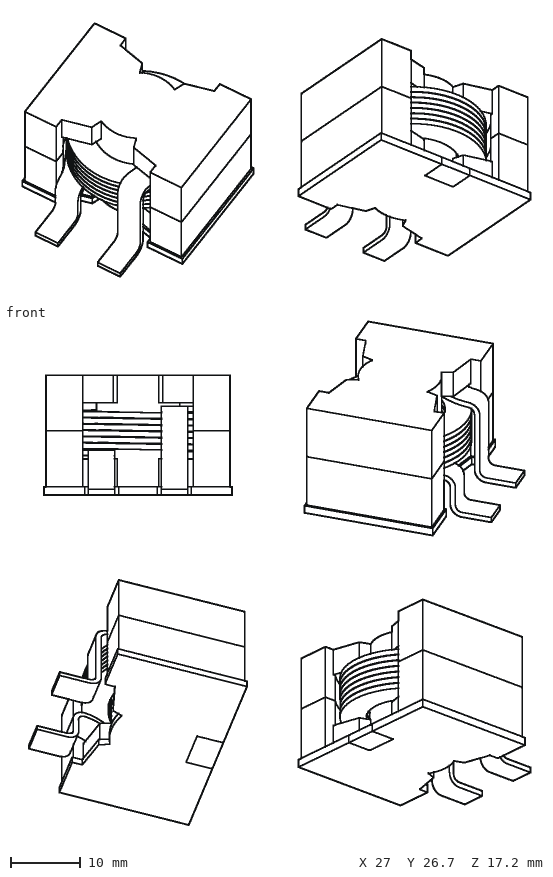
import cadquery as cq
import math

BASE_LENGTH = 27.0
BASE_WIDTH = 19.5
BASE_THICKNESS = 1.2
BASE_RIM = 0.3
PAD_LENGTH = 5.08
PAD_FRONT_Y = 5.78

CORE_LENGTH = 26.4
CORE_WIDTH = 19.0
CORE_HEIGHT = 16.0
YOKE_THICKNESS = 4.0
POST_RADIUS = 6.0
LEG_BORE_RADIUS = 11.0
NOTCH_HALF_LENGTH = 7.9
NOTCH_SHOULDER_Y = 8.0
NOTCH_KNEE_X = 3.55
NOTCH_KNEE_Y = 6.88
NOTCH_POST_X = 2.95

NOTCH_POST_Y = math.sqrt(POST_RADIUS**2 - NOTCH_POST_X**2)
HALF_HEIGHT = CORE_HEIGHT / 2
SPLIT_Z = BASE_THICKNESS + HALF_HEIGHT

STRIP_WIDTH = 3.8
STRIP_THICKNESS = 0.8
TURN_GAP = 0.09
COIL_OUTER_RADIUS = 10.3
EXIT_ANGLE = 26.0
LEAD_RISE_TURNS = 7

COIL_INNER_RADIUS = COIL_OUTER_RADIUS - STRIP_WIDTH
TURN_PITCH = STRIP_THICKNESS + TURN_GAP
COIL_TURNS = 6.5 + 2 * EXIT_ANGLE / 360
LEAD_HALF_RISE = LEAD_RISE_TURNS * TURN_PITCH / 2

LEAD_CENTRE_X = 5.25
LEAD_STRAIGHT_Y = -9.95
LEAD_FACE_Y = -10.95
FOOT_END_Y = -16.42
BEND_INNER_RADIUS = 1.0
BEND_OUTER_RADIUS = BEND_INNER_RADIUS + STRIP_THICKNESS


def polar(radius, degrees, centre=(0, 0)):
    angle = math.radians(degrees)
    return (centre[0] + radius * math.cos(angle), centre[1] + radius * math.sin(angle))


def notch_prism(height, inset=0):
    """Fill of the notch in the -Y side of the core, shrunk all round by the inset.

    Its inner end is flat and lies inside the round post.
    """
    open_y = -BASE_WIDTH
    outline = (
        cq.Workplane("XY")
        .moveTo(-NOTCH_HALF_LENGTH, open_y)
        .lineTo(-NOTCH_HALF_LENGTH, -NOTCH_SHOULDER_Y)
        .lineTo(-NOTCH_KNEE_X, -NOTCH_KNEE_Y)
        .lineTo(-NOTCH_POST_X, -NOTCH_POST_Y)
        .lineTo(NOTCH_POST_X, -NOTCH_POST_Y)
        .lineTo(NOTCH_KNEE_X, -NOTCH_KNEE_Y)
        .lineTo(NOTCH_HALF_LENGTH, -NOTCH_SHOULDER_Y)
        .lineTo(NOTCH_HALF_LENGTH, open_y)
        .close()
    )
    if inset > 0:
        outline = outline.offset2D(-inset, "intersection")
    return outline.extrude(height)


def make_pad():
    """Mounting pad set into the rear edge of the base, through its full thickness."""
    pad_width = BASE_WIDTH / 2 - PAD_FRONT_Y
    return (
        cq.Workplane("XY")
        .center(0, PAD_FRONT_Y + pad_width / 2)
        .rect(PAD_LENGTH, pad_width)
        .extrude(BASE_THICKNESS)
    )


def make_base():
    plate = cq.Workplane("XY").rect(BASE_LENGTH, BASE_WIDTH).extrude(BASE_THICKNESS)
    notched = plate.cut(notch_prism(BASE_THICKNESS, BASE_RIM))

    disc = cq.Workplane("XY").circle(POST_RADIUS + BASE_RIM).extrude(BASE_THICKNESS)
    return notched.union(disc).cut(make_pad())


def make_lower_core():
    """Yoke with a round post and two outer legs, standing on the base."""
    block = cq.Workplane("XY").rect(CORE_LENGTH, CORE_WIDTH).extrude(HALF_HEIGHT)

    window_height = HALF_HEIGHT - YOKE_THICKNESS
    yoke_top = cq.Workplane("XY").workplane(offset=YOKE_THICKNESS)
    bore = yoke_top.circle(LEG_BORE_RADIUS).extrude(window_height)
    passage = yoke_top.rect(2 * NOTCH_HALF_LENGTH, CORE_WIDTH).extrude(window_height)

    front = notch_prism(HALF_HEIGHT)
    rear = front.mirror("XZ")
    shell = block.cut(bore).cut(passage).cut(front).cut(rear)

    post = cq.Workplane("XY").circle(POST_RADIUS).extrude(HALF_HEIGHT)
    half = shell.union(post)
    return half.translate((0, 0, BASE_THICKNESS))


def make_upper_core():
    return make_lower_core().mirror("XY", (0, 0, SPLIT_Z))


def make_coil():
    """Flat strip wound on edge as a left-handed helix, centred on the core split."""
    height = COIL_TURNS * TURN_PITCH
    middle_radius = (COIL_INNER_RADIUS + COIL_OUTER_RADIUS) / 2
    path = cq.Wire.makeHelix(TURN_PITCH, height, middle_radius, lefthand=True)
    strip = (
        cq.Workplane("XZ")
        .center(middle_radius, 0)
        .rect(STRIP_WIDTH, STRIP_THICKNESS)
        .sweep(cq.Workplane(path), isFrenet=True)
    )
    start_angle = 180 + EXIT_ANGLE
    turned = strip.rotate((0, 0, 0), (0, 0, 1), start_angle)
    return turned.translate((0, 0, SPLIT_Z - height / 2))


def lead_plan():
    """Plan of the lead on the +X side: tangent to the coil, then curving to run along -Y."""
    inner_x = LEAD_CENTRE_X - STRIP_WIDTH / 2
    outer_x = LEAD_CENTRE_X + STRIP_WIDTH / 2
    inner_start = polar(COIL_INNER_RADIUS, -EXIT_ANGLE)
    outer_start = polar(COIL_OUTER_RADIUS, -EXIT_ANGLE)

    exit_angle = math.radians(EXIT_ANGLE)
    corner_y = outer_start[1] - (outer_start[0] - outer_x) / math.tan(exit_angle)
    outer_curve = (corner_y - LEAD_STRAIGHT_Y) / math.tan(exit_angle / 2)
    inner_curve = outer_curve + STRIP_WIDTH
    centre = (outer_x + outer_curve, LEAD_STRAIGHT_Y)
    curve_start = 180 - EXIT_ANGLE
    curve_middle = 180 - EXIT_ANGLE / 2

    return (
        cq.Workplane("XY")
        .moveTo(*inner_start)
        .lineTo(*polar(inner_curve, curve_start, centre))
        .threePointArc(polar(inner_curve, curve_middle, centre), (inner_x, LEAD_STRAIGHT_Y))
        .lineTo(inner_x, FOOT_END_Y)
        .lineTo(outer_x, FOOT_END_Y)
        .lineTo(outer_x, LEAD_STRAIGHT_Y)
        .threePointArc(
            polar(outer_curve, curve_middle, centre),
            polar(outer_curve, curve_start, centre),
        )
        .lineTo(*outer_start)
        .close()
    )


def make_lead(side, level):
    """Lead on the +X (side 1) or -X (side -1) side, its flat start centred on the level."""
    top = level + STRIP_THICKNESS / 2
    bottom = top - STRIP_THICKNESS
    back_y = LEAD_FACE_Y + STRIP_THICKNESS
    upper_bend = (LEAD_FACE_Y + BEND_OUTER_RADIUS, top - BEND_OUTER_RADIUS)
    lower_bend = (back_y - BEND_OUTER_RADIUS, BEND_OUTER_RADIUS)

    profile = (
        cq.Workplane("YZ")
        .moveTo(0, top)
        .lineTo(upper_bend[0], top)
        .threePointArc(polar(BEND_OUTER_RADIUS, 135, upper_bend), (LEAD_FACE_Y, upper_bend[1]))
        .lineTo(LEAD_FACE_Y, lower_bend[1])
        .threePointArc(
            polar(BEND_INNER_RADIUS, -45, lower_bend),
            (lower_bend[0], STRIP_THICKNESS),
        )
        .lineTo(FOOT_END_Y, STRIP_THICKNESS)
        .lineTo(FOOT_END_Y, 0)
        .lineTo(lower_bend[0], 0)
        .threePointArc(polar(BEND_OUTER_RADIUS, -45, lower_bend), (back_y, lower_bend[1]))
        .lineTo(back_y, upper_bend[1])
        .threePointArc(polar(BEND_INNER_RADIUS, 135, upper_bend), (upper_bend[0], bottom))
        .lineTo(0, bottom)
        .close()
    )
    lead = profile.extrude(COIL_OUTER_RADIUS).intersect(lead_plan().extrude(top))
    return lead if side > 0 else lead.mirror("YZ")


base = make_base()
mounting_pad = make_pad()
lower_core = make_lower_core()
upper_core = make_upper_core()
coil = make_coil()
leads = [make_lead(side, SPLIT_Z + side * LEAD_HALF_RISE) for side in (-1, 1)]

result = cq.Compound.makeCompound(
    [
        base.val(),
        mounting_pad.val(),
        lower_core.val(),
        upper_core.val(),
        coil.val(),
        *[lead.val() for lead in leads],
    ]
)